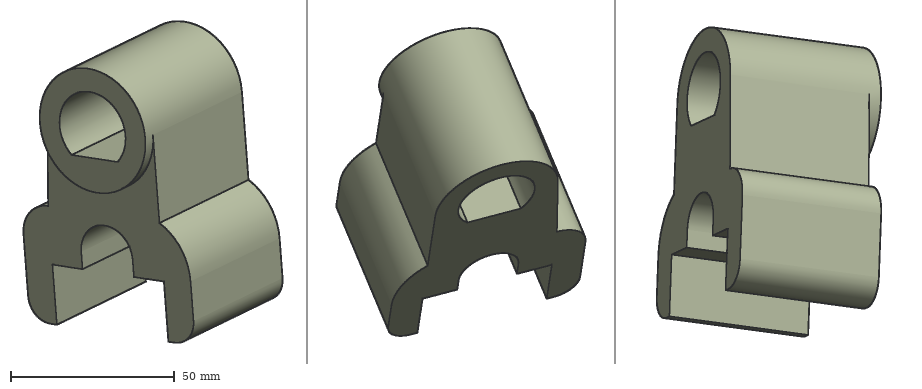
import cadquery as cq
import math

tilt = 5.0
body_depth = 46.5
boss_protrusion = 4.0
boss_radius = 20.0
bore_radius = 12.5
bore_flat_drop = 8.9
wall = 10.25
left_offset = 2.2
shoulder_drop = 28.3
floor_drop = 47.1
leg_drop = 66.5
tip_radius = 8.0
right_shoulder_radius = 20.0
notch_center = -1.1
notch_radius = 9.7
notch_top_drop = 31.8

right_inner = boss_radius
right_outer = right_inner + wall
left_inner = -(boss_radius + left_offset)
left_outer = left_inner - wall
shoulder_x = right_outer - right_shoulder_radius
shoulder_rise = math.sqrt(right_shoulder_radius**2 - (right_inner - shoulder_x)**2)
right_shoulder_end = -shoulder_drop - shoulder_rise
flare_start_x = -boss_radius * math.cos(math.radians(tilt))
flare_start_z = boss_radius * math.sin(math.radians(tilt))
notch_spring = -notch_top_drop - notch_radius


def extrude_back(sketch, depth):
    """Extrude an XZ outline from the front face toward +Y."""
    return sketch.extrude(-depth)


def make_body():
    """Web with two rounded legs; the left side flares out to its leg."""
    outline = (
        cq.Workplane("XZ")
        .moveTo(flare_start_x, flare_start_z)
        .lineTo(boss_radius, 0)
        .lineTo(right_inner, -shoulder_drop)
        .radiusArc((right_outer, right_shoulder_end), right_shoulder_radius)
        .lineTo(right_outer, -leg_drop + tip_radius)
        .radiusArc((right_outer - tip_radius, -leg_drop), tip_radius)
        .lineTo(right_inner, -leg_drop)
        .lineTo(right_inner, -floor_drop)
        .lineTo(notch_center + notch_radius, -floor_drop)
        .lineTo(notch_center + notch_radius, notch_spring)
        .threePointArc((notch_center, -notch_top_drop), (notch_center - notch_radius, notch_spring))
        .lineTo(notch_center - notch_radius, -floor_drop)
        .lineTo(left_inner, -floor_drop)
        .lineTo(left_inner, -leg_drop)
        .lineTo(left_outer + tip_radius, -leg_drop)
        .radiusArc((left_outer, -leg_drop + tip_radius), tip_radius)
        .lineTo(left_outer, -shoulder_drop - wall)
        .radiusArc((left_inner, -shoulder_drop), wall)
        .close()
    )
    return extrude_back(outline, body_depth)


def make_boss():
    """Round boss flush with the back of the body and proud of its front."""
    outline = cq.Workplane("XZ", origin=(0, -boss_protrusion, 0)).circle(boss_radius)
    return extrude_back(outline, body_depth + boss_protrusion)


def make_bore():
    """Through bore with a flat along its lower side."""
    half_flat = math.sqrt(bore_radius**2 - bore_flat_drop**2)
    outline = (
        cq.Workplane("XZ", origin=(0, -boss_protrusion, 0))
        .moveTo(-half_flat, -bore_flat_drop)
        .threePointArc((0, bore_radius), (half_flat, -bore_flat_drop))
        .close()
    )
    return extrude_back(outline, body_depth + boss_protrusion)


bracket = make_body().union(make_boss()).cut(make_bore())
result = bracket.rotate((0, 0, 0), (0, 1, 0), -tilt)